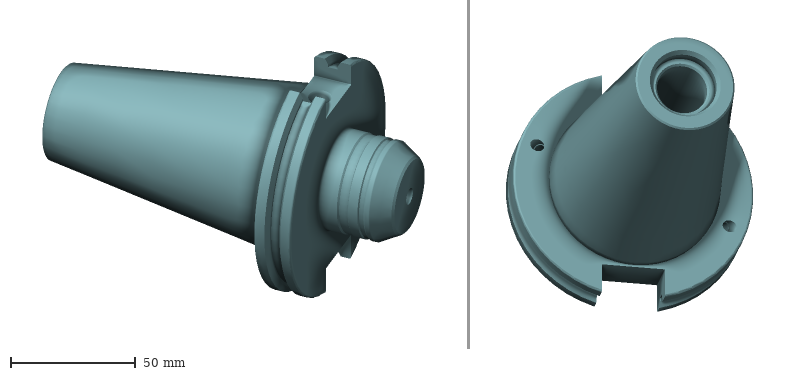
import cadquery as cq
import math

LENGTH = 151.6

TAPER_END_X = 101.4
TAPER_LAND_END_X = 102.3
GAUGE_RADIUS = 69.9 / 2
TAPER_RATIO = 7 / 24
TAPER_TIP_CHAMFER = 0.6
NECK_RADIUS = 69.3 / 2

FLANGE_FRONT_X = 104.6
FLANGE_BACK_X = 120.7
FLANGE_RADIUS = 98.2 / 2
FLANGE_EDGE_RADIUS = 0.9
GROOVE_FLOOR_RADIUS = 45.5
GROOVE_SHOULDER_RADIUS = 46.7
GROOVE_FLOOR_START_X = 110.7
GROOVE_FLOOR_END_X = 114.8
GROOVE_FLANK_ANGLE = 60.0

NOSE_RADIUS = 42.0 / 2
NOSE_ROOT_RADIUS = 0.9
NOSE_CONE_START_X = 142.8
NOSE_SHOULDER_BLEND = 0.23
NOSE_CONE_ANGLE = 30.0
NOSE_END_CHAMFER = 0.9
NOSE_GROOVE_RADIUS = 41.0 / 2
WIDE_GROOVE = (129.6, 133.3)
NARROW_GROOVE = (138.3, 140.1)
GROOVE_LONG_RAMP = 0.8
GROOVE_SHORT_RAMP = 0.5

SLOT_WIDTH = 25.8
UPPER_SLOT_FLOOR = 37.7
LOWER_SLOT_FLOOR = 35.5
SLOT_CORNER_RADIUS = 0.3
DIMPLE_RADIUS = 9.5 / 2
DIMPLE_DEPTH = 3.6
DIMPLE_X = (FLANGE_FRONT_X + FLANGE_BACK_X) / 2

BORE_MOUTH_RADIUS = 29.0 / 2
COUNTERBORE_RADIUS = 26.2 / 2
BORE_CHAMFER_RADIUS = 22.0 / 2
BORE_RADIUS = 20.5 / 2
THROUGH_RADIUS = 7.0 / 2
MOUTH_DEPTH = 1.7
COUNTERBORE_DEPTH = 5.9
BORE_DEPTH = 53.0
BORE_TIP_ANGLE = 118.0

PORT_PITCH_RADIUS = 41.8
PORT_ANGLE = 20.0
PORT_TILT = 30.0
PORT_RADIUS = 5.0 / 2
PORT_DEPTH = 3.0
PORT_INNER_RADIUS = 4.1 / 2
PORT_INNER_DEPTH = 12.1
CUT_MARGIN = 4.5


def revolve_about_x(profile):
    """Revolve an (x, radius) sketch through a full turn about the X axis."""
    return profile.close().revolve(360, (0, 0, 0), (1, 0, 0))


def make_taper():
    tip_radius = GAUGE_RADIUS - TAPER_END_X * TAPER_RATIO / 2
    profile = (
        cq.Workplane("XY")
        .moveTo(0, 0)
        .lineTo(0, tip_radius - TAPER_TIP_CHAMFER)
        .lineTo(TAPER_TIP_CHAMFER, tip_radius + TAPER_TIP_CHAMFER * TAPER_RATIO / 2)
        .lineTo(TAPER_END_X, GAUGE_RADIUS)
        .lineTo(TAPER_LAND_END_X, GAUGE_RADIUS)
        .lineTo(TAPER_LAND_END_X, NECK_RADIUS)
        .lineTo(FLANGE_FRONT_X, NECK_RADIUS)
        .lineTo(FLANGE_FRONT_X, 0)
    )
    return revolve_about_x(profile)


def make_flange():
    flank_run = (FLANGE_RADIUS - GROOVE_SHOULDER_RADIUS) / math.tan(math.radians(GROOVE_FLANK_ANGLE))
    disc = (
        cq.Workplane("YZ", origin=(FLANGE_FRONT_X, 0, 0))
        .circle(FLANGE_RADIUS)
        .extrude(FLANGE_BACK_X - FLANGE_FRONT_X)
        .edges()
        .fillet(FLANGE_EDGE_RADIUS)
    )
    groove = (
        cq.Workplane("XY")
        .moveTo(GROOVE_FLOOR_START_X, GROOVE_FLOOR_RADIUS)
        .lineTo(GROOVE_FLOOR_START_X, GROOVE_SHOULDER_RADIUS)
        .lineTo(GROOVE_FLOOR_START_X - flank_run, FLANGE_RADIUS)
        .lineTo(GROOVE_FLOOR_START_X - flank_run, FLANGE_RADIUS + CUT_MARGIN)
        .lineTo(GROOVE_FLOOR_END_X + flank_run, FLANGE_RADIUS + CUT_MARGIN)
        .lineTo(GROOVE_FLOOR_END_X + flank_run, FLANGE_RADIUS)
        .lineTo(GROOVE_FLOOR_END_X, GROOVE_SHOULDER_RADIUS)
        .lineTo(GROOVE_FLOOR_END_X, GROOVE_FLOOR_RADIUS)
    )
    return disc.cut(revolve_about_x(groove))


def make_nose():
    cone_end_x = LENGTH - NOSE_END_CHAMFER
    cone_angle = math.radians(NOSE_CONE_ANGLE)
    cone_drop = (cone_end_x - NOSE_CONE_START_X) * math.tan(cone_angle)
    cone_end_radius = NOSE_RADIUS - cone_drop
    shoulder_radius = NOSE_SHOULDER_BLEND / math.tan(cone_angle / 2)
    shoulder_end = (
        NOSE_CONE_START_X + NOSE_SHOULDER_BLEND * math.cos(cone_angle),
        NOSE_RADIUS - NOSE_SHOULDER_BLEND * math.sin(cone_angle),
    )
    profile = (
        cq.Workplane("XY")
        .moveTo(FLANGE_BACK_X, 0)
        .lineTo(FLANGE_BACK_X, NOSE_RADIUS + NOSE_ROOT_RADIUS)
        .radiusArc((FLANGE_BACK_X + NOSE_ROOT_RADIUS, NOSE_RADIUS), -NOSE_ROOT_RADIUS)
        .lineTo(WIDE_GROOVE[0] - GROOVE_LONG_RAMP, NOSE_RADIUS)
        .lineTo(WIDE_GROOVE[0], NOSE_GROOVE_RADIUS)
        .lineTo(WIDE_GROOVE[1], NOSE_GROOVE_RADIUS)
        .lineTo(WIDE_GROOVE[1] + GROOVE_SHORT_RAMP, NOSE_RADIUS)
        .lineTo(NARROW_GROOVE[0] - GROOVE_SHORT_RAMP, NOSE_RADIUS)
        .lineTo(NARROW_GROOVE[0], NOSE_GROOVE_RADIUS)
        .lineTo(NARROW_GROOVE[1], NOSE_GROOVE_RADIUS)
        .lineTo(NARROW_GROOVE[1] + GROOVE_LONG_RAMP, NOSE_RADIUS)
        .lineTo(NOSE_CONE_START_X - NOSE_SHOULDER_BLEND, NOSE_RADIUS)
        .radiusArc(shoulder_end, shoulder_radius)
        .lineTo(cone_end_x, cone_end_radius)
        .lineTo(LENGTH, cone_end_radius - NOSE_END_CHAMFER)
        .lineTo(LENGTH, 0)
    )
    return revolve_about_x(profile)


def make_bore():
    chamfer = BORE_CHAMFER_RADIUS - BORE_RADIUS
    tip_length = (BORE_RADIUS - THROUGH_RADIUS) / math.tan(math.radians(BORE_TIP_ANGLE / 2))
    profile = (
        cq.Workplane("XY")
        .moveTo(0, 0)
        .lineTo(0, BORE_MOUTH_RADIUS)
        .lineTo(MOUTH_DEPTH, COUNTERBORE_RADIUS)
        .lineTo(COUNTERBORE_DEPTH, COUNTERBORE_RADIUS)
        .lineTo(COUNTERBORE_DEPTH, BORE_CHAMFER_RADIUS)
        .lineTo(COUNTERBORE_DEPTH + chamfer, BORE_RADIUS)
        .lineTo(BORE_DEPTH, BORE_RADIUS)
        .lineTo(BORE_DEPTH + tip_length, THROUGH_RADIUS)
        .lineTo(LENGTH, THROUGH_RADIUS)
        .lineTo(LENGTH, 0)
    )
    return revolve_about_x(profile)


def make_slot(floor, side):
    """Driving slot across the flange; side is +1 for +Z and -1 for -Z."""
    height = FLANGE_RADIUS + CUT_MARGIN - floor
    return (
        cq.Workplane("XY")
        .box(FLANGE_BACK_X - FLANGE_FRONT_X, SLOT_WIDTH, height)
        .translate((DIMPLE_X, 0, side * (floor + height / 2)))
        .edges("|X and <Z" if side > 0 else "|X and >Z")
        .fillet(SLOT_CORNER_RADIUS)
    )


def make_dimple():
    top = cq.Vector(DIMPLE_X, 0, UPPER_SLOT_FLOOR)
    return cq.Solid.makeCone(DIMPLE_RADIUS, 0, DIMPLE_DEPTH, top, cq.Vector(0, 0, -1))


def make_port():
    """Stepped hole entering the front face at +Y, leaning in towards the axis."""
    tilt = math.radians(PORT_TILT)
    direction = cq.Vector(math.cos(tilt), -math.sin(tilt), 0)
    mouth = cq.Vector(FLANGE_FRONT_X, PORT_PITCH_RADIUS, 0)
    lead = PORT_RADIUS * math.tan(tilt)
    wide = cq.Solid.makeCylinder(PORT_RADIUS, PORT_DEPTH + lead, mouth - direction * lead, direction)
    narrow = cq.Solid.makeCylinder(PORT_INNER_RADIUS, PORT_INNER_DEPTH, mouth, direction)
    return cq.Workplane(wide).union(cq.Workplane(narrow))


result = make_taper().union(make_flange()).union(make_nose())
result = result.cut(make_bore())
result = result.cut(make_slot(UPPER_SLOT_FLOOR, 1)).cut(make_slot(LOWER_SLOT_FLOOR, -1))
result = result.cut(cq.Workplane(make_dimple()))
for half_turn in (0, 180):
    port = make_port().rotate((0, 0, 0), (1, 0, 0), PORT_ANGLE + half_turn)
    result = result.cut(port)